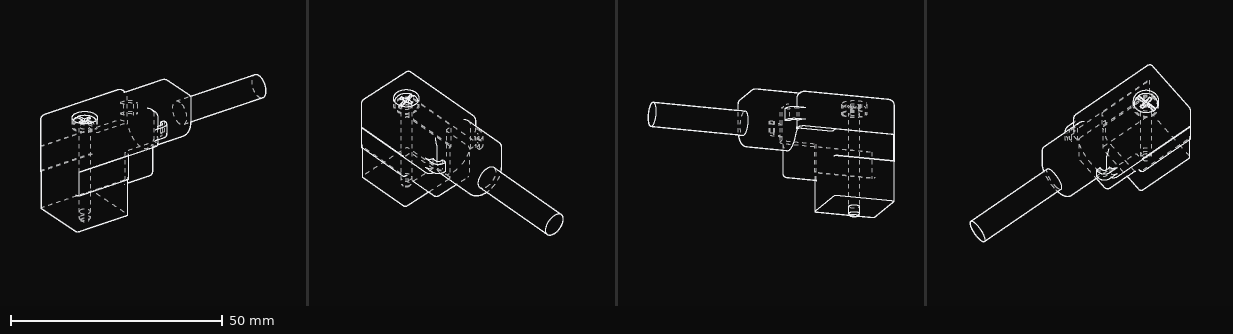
import cadquery as cq


TOTAL_LENGTH = 58.15
TOTAL_HEIGHT = 27.5
PLUG_HEIGHT = 25.25
FRONT_TO_SCREW = 7.55
FRONT_Y = -FRONT_TO_SCREW
CABLE_END_Y = FRONT_Y + TOTAL_LENGTH

COVER_WIDTH = 16.0
COVER_LENGTH = 23.8
COVER_HEIGHT = 8.95
COVER_TOP_RADIUS = 1.55
COVER_FRONT_RADIUS = 0.8
COVER_BACK_RADIUS = 1.35
COVER_BACK_Y = FRONT_Y + COVER_LENGTH
COVER_BOTTOM_Z = PLUG_HEIGHT - COVER_HEIGHT

COLLAR_WIDTH = 15.7
BASE_WIDTH = 15.0
BASE_HEIGHT = 9.8
PLUG_LENGTH = 15.0
PLUG_BACK_RADIUS = 0.65
BASE_FRONT_RADIUS = 0.5
PLUG_BACK_Y = FRONT_Y + PLUG_LENGTH

BLOCK_WIDTH = 11.45
BLOCK_BOTTOM_Z = 7.0
BLOCK_RADIUS = 1.1
BLOCK_ROOT_RADIUS = 0.45
SELECT_MARGIN = 0.05

CABLE_DIAMETER = 5.8
CABLE_AXIS_Z = PLUG_HEIGHT - 7.3
BOOT_WIDTH = 11.05
BOOT_BACK_Y = FRONT_Y + 35.1
BOOT_TOP_RADIUS = 0.95
BOOT_END_RADIUS = 1.3

LOOP_THICKNESS = 1.1
LOOP_OUTER_RADIUS = 2.15
LOOP_INNER_RADIUS = 0.8
LOOP_BACK_Y = COVER_BACK_Y + 2.95
LOOP_BOTTOM_Z = CABLE_AXIS_Z
LOOP_HEIGHT = 2.9

HEAD_DIAMETER = 5.45
HEAD_HEIGHT = 1.75
HEAD_EDGE_RADIUS = 0.45
HEAD_SINK = 0.65
RECESS_DIAMETER = 6.05
SHANK_DIAMETER = 2.6
TIP_CHAMFER = (0.6, 0.35)
DRIVE_ANGLE = 11
SLOT_WIDTH = 0.7
SLOT_DEPTH = 0.5
CROSS_TOP_LENGTH = 3.4
CROSS_BOTTOM_LENGTH = 0.95
CROSS_DEPTH = 1.05
HEAD_TOP_Z = PLUG_HEIGHT - HEAD_SINK
HEAD_SEAT_Z = HEAD_TOP_Z - HEAD_HEIGHT
TIP_Z = PLUG_HEIGHT - TOTAL_HEIGHT


def box(width, y_start, y_end, z_start, z_end):
    """A block centred on X = 0 between the given Y and Z limits."""
    return cq.Workplane("XY").box(
        width, y_end - y_start, z_end - z_start, centered=(True, False, False)
    ).translate((0, y_start, z_start))


def cylinder(diameter, z_start, z_end):
    """A vertical cylinder on the screw axis."""
    return cq.Workplane("XY").workplane(offset=z_start).circle(diameter / 2).extrude(z_end - z_start)


def make_cover():
    cover = box(COVER_WIDTH, FRONT_Y, COVER_BACK_Y, COVER_BOTTOM_Z, PLUG_HEIGHT)
    cover = cover.edges("|Z and <Y").fillet(COVER_FRONT_RADIUS)
    cover = cover.edges("|Z and >Y").fillet(COVER_BACK_RADIUS)
    return cover.faces(">Z").edges().fillet(COVER_TOP_RADIUS)


def make_plug():
    collar = box(COVER_WIDTH, FRONT_Y, PLUG_BACK_Y, BASE_HEIGHT, COVER_BOTTOM_Z)
    collar = collar.edges("|Z and <Y").fillet(COVER_FRONT_RADIUS)
    collar = collar.intersect(box(COLLAR_WIDTH, FRONT_Y, PLUG_BACK_Y, BASE_HEIGHT, COVER_BOTTOM_Z))
    collar = collar.edges("|Z and >Y").fillet(PLUG_BACK_RADIUS)
    base = box(BASE_WIDTH, FRONT_Y, PLUG_BACK_Y, 0, BASE_HEIGHT)
    base = base.edges("|Z and >Y").fillet(PLUG_BACK_RADIUS)
    base = base.edges("|Z and <Y").fillet(BASE_FRONT_RADIUS)
    return collar.union(base)


def add_rear_block(plug):
    """Joins the rear block to the back of the plug and rounds the inner corner between them."""
    block = box(BLOCK_WIDTH, PLUG_BACK_Y, COVER_BACK_Y, BLOCK_BOTTOM_Z, COVER_BOTTOM_Z)
    block = block.faces("<Z").edges("|Y").fillet(BLOCK_RADIUS)
    block = block.faces(">Y").edges("not >Z").fillet(BLOCK_RADIUS)
    reach = BLOCK_WIDTH / 2 + SELECT_MARGIN
    root = cq.selectors.BoxSelector(
        (-reach, PLUG_BACK_Y - SELECT_MARGIN, BLOCK_BOTTOM_Z - SELECT_MARGIN),
        (reach, PLUG_BACK_Y + SELECT_MARGIN, COVER_BOTTOM_Z - SELECT_MARGIN),
    )
    return plug.union(block).edges(root).fillet(BLOCK_ROOT_RADIUS)


def make_boot():
    half = BOOT_WIDTH / 2
    boot = (
        cq.Workplane("XZ", origin=(0, BOOT_BACK_Y, 0))
        .moveTo(-half, PLUG_HEIGHT)
        .lineTo(-half, CABLE_AXIS_Z)
        .threePointArc((0, CABLE_AXIS_Z - half), (half, CABLE_AXIS_Z))
        .lineTo(half, PLUG_HEIGHT)
        .close()
        .extrude(BOOT_BACK_Y - COVER_BACK_Y + COVER_TOP_RADIUS)
    )
    boot = boot.faces(">Z").edges("|Y").fillet(BOOT_TOP_RADIUS)
    return boot.faces(">Y").edges().fillet(BOOT_END_RADIUS)


def make_side_loops():
    """Both loops as one closed strap; its middle runs inside the boot."""
    start_y = COVER_BACK_Y - COVER_BACK_RADIUS
    outer = box(COVER_WIDTH, start_y, LOOP_BACK_Y, LOOP_BOTTOM_Z, LOOP_BOTTOM_Z + LOOP_HEIGHT)
    outer = outer.edges("|Z and >Y").fillet(LOOP_OUTER_RADIUS)
    opening = box(
        COVER_WIDTH - 2 * LOOP_THICKNESS,
        COVER_BACK_Y,
        LOOP_BACK_Y - LOOP_THICKNESS,
        LOOP_BOTTOM_Z,
        LOOP_BOTTOM_Z + LOOP_HEIGHT,
    )
    opening = opening.edges("|Z and >Y").fillet(LOOP_INNER_RADIUS)
    return outer.cut(opening)


def make_housing():
    housing = add_rear_block(make_plug()).union(make_cover())
    housing = housing.union(make_side_loops()).union(make_boot())
    recess = cylinder(RECESS_DIAMETER, HEAD_SEAT_Z, PLUG_HEIGHT)
    bore = cylinder(SHANK_DIAMETER, 0, HEAD_SEAT_Z)
    return housing.cut(recess).cut(bore)


def make_cable():
    return (
        cq.Workplane("XZ", origin=(0, CABLE_END_Y, CABLE_AXIS_Z))
        .circle(CABLE_DIAMETER / 2)
        .extrude(CABLE_END_Y - BOOT_BACK_Y)
    )


def make_drive():
    """Cutter for the straight slot and the tapered cross recess in the screw head."""
    slot = box(SLOT_WIDTH, -HEAD_DIAMETER, HEAD_DIAMETER, HEAD_TOP_Z - SLOT_DEPTH, HEAD_TOP_Z)
    blade = (
        cq.Workplane("YZ", origin=(0, 0, HEAD_TOP_Z))
        .moveTo(-CROSS_TOP_LENGTH / 2, 0)
        .lineTo(-CROSS_BOTTOM_LENGTH / 2, -CROSS_DEPTH)
        .lineTo(CROSS_BOTTOM_LENGTH / 2, -CROSS_DEPTH)
        .lineTo(CROSS_TOP_LENGTH / 2, 0)
        .close()
        .extrude(SLOT_WIDTH / 2, both=True)
    )
    axis = ((0, 0, 0), (0, 0, 1))
    drive = slot.union(blade).rotate(*axis, 90).union(blade)
    return drive.rotate(*axis, DRIVE_ANGLE)


def make_screw():
    head = cylinder(HEAD_DIAMETER, HEAD_SEAT_Z, HEAD_TOP_Z).faces(">Z").edges().fillet(HEAD_EDGE_RADIUS)
    shank = cylinder(SHANK_DIAMETER, TIP_Z, HEAD_SEAT_Z).faces("<Z").edges().chamfer(*TIP_CHAMFER)
    return head.union(shank).cut(make_drive())


housing = make_housing()
cable = make_cable()
screw = make_screw()

result = cq.Compound.makeCompound([housing.val(), cable.val(), screw.val()])